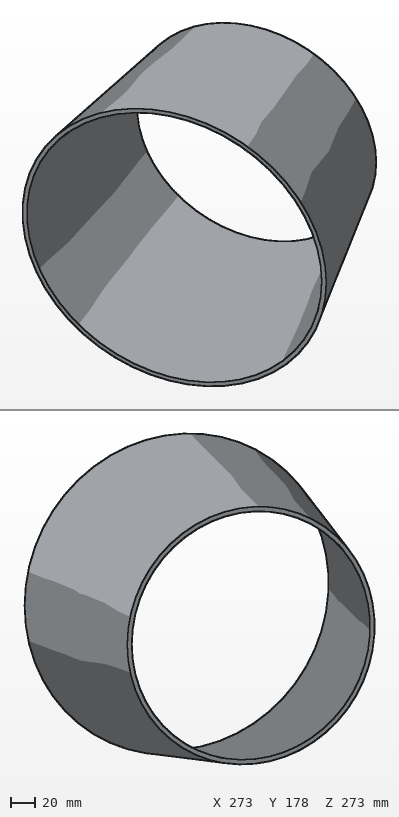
import cadquery as cq

length = 178.0
large_diameter = 273.0
small_diameter = 219.0
wall = 4.0

large_radius = large_diameter / 2
small_radius = small_diameter / 2

wall_section = (
    cq.Workplane("XY")
    .moveTo(large_radius - wall, 0)
    .lineTo(large_radius, 0)
    .lineTo(small_radius, length)
    .lineTo(small_radius - wall, length)
    .close()
)

result = wall_section.revolve(360, (0, 0, 0), (0, 1, 0))